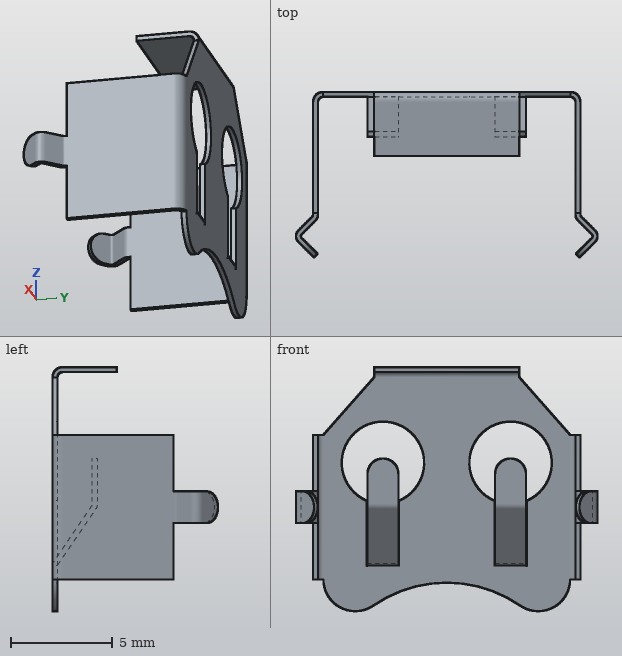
import cadquery as cq
import math

sheet = 0.254
overall_width = 14.9
overall_depth = 8.18
overall_height = 12.06

wide_bend = 2 * sheet
tight_bend_mid = sheet
wing_outer_x = 6.605
plate_half_width = wing_outer_x - wide_bend

flange_half_width = 3.59
flange_depth = 3.18
shoulder_z = 8.71
lobe_radius = 1.575
arch_radius = 6.35
arch_top_z = 1.41
hole_radius = 2.03
hole_x = 3.15
hole_z = 7.33

wing_bottom_z = 1.57
wing_depth = 5.98

tab_width = 1.575
hook_z = (shoulder_z + wing_bottom_z) / 2
hook_angle = math.radians(45)
hook_bend_y = -6.07

finger_front_y = -2.22
finger_bend_top_z = 5.28
finger_top_z = 7.55
finger_ramp_angle = math.radians(34.3)
slot_bottom_z = 2.25
slot_width = 1.575
finger_width = 1.54


def box(x_range, y_range, z_range):
    lows, highs = zip(x_range, y_range, z_range)
    sizes = [high - low for low, high in zip(lows, highs)]
    return cq.Workplane("XY").box(*sizes, centered=False).translate(lows)


def mirrored_pair(shape):
    return shape.union(shape.mirror("YZ"))


def half_disc(center, outward, normal, radius):
    """Rounded strip end of one sheet thickness, centred on the mid-sheet plane."""
    plane = cq.Plane(origin=center, xDir=outward, normal=normal)
    outline = cq.Workplane(plane).moveTo(0, -radius).threePointArc((radius, 0), (0, radius)).close()
    return outline.extrude(sheet / 2, both=True)


def base_plate():
    """Flat plate: lobed and arched bottom, sloping shoulders, two round holes."""
    lobe_x = plate_half_width - lobe_radius
    arch_z = arch_top_z - arch_radius
    join_angle = math.atan2(lobe_radius - arch_z, lobe_x)
    join_x = arch_radius * math.cos(join_angle)
    join_z = arch_z + arch_radius * math.sin(join_angle)
    neck_z = overall_height - wide_bend
    plate = (
        cq.Workplane("XZ")
        .moveTo(-flange_half_width, neck_z)
        .lineTo(flange_half_width, neck_z)
        .lineTo(plate_half_width, shoulder_z)
        .lineTo(plate_half_width, lobe_radius)
        .threePointArc((lobe_x, 0), (join_x, join_z))
        .threePointArc((0, arch_top_z), (-join_x, join_z))
        .threePointArc((-lobe_x, 0), (-plate_half_width, lobe_radius))
        .lineTo(-plate_half_width, shoulder_z)
        .close()
        .extrude(sheet)
    )
    holes = (
        cq.Workplane("XZ")
        .pushPoints([(-hole_x, hole_z), (hole_x, hole_z)])
        .circle(hole_radius)
        .extrude(sheet)
    )
    return plate.cut(holes)


def bent_flange(plane, bend_start, edge, reach, width):
    """Flange turned 90 degrees; its outer face lies at `edge` and it reaches `reach` forward."""
    inner_radius = wide_bend - sheet
    turn = math.sqrt(0.5)
    outer_middle = (bend_start + wide_bend * turn, wide_bend * turn - wide_bend)
    inner_middle = (bend_start + inner_radius * turn, inner_radius * turn - wide_bend)
    profile = (
        plane.moveTo(bend_start, 0)
        .threePointArc(outer_middle, (edge, -wide_bend))
        .lineTo(edge, -reach)
        .lineTo(edge - sheet, -reach)
        .lineTo(edge - sheet, -wide_bend)
        .threePointArc(inner_middle, (bend_start, -sheet))
        .close()
    )
    return profile.extrude(width)


def top_flange():
    plane = cq.Plane(origin=(flange_half_width, 0, 0), xDir=(0, 0, 1), normal=(-1, 0, 0))
    neck_z = overall_height - wide_bend
    return bent_flange(cq.Workplane(plane), neck_z, overall_height, flange_depth, 2 * flange_half_width)


def wing():
    plane = cq.Workplane("XY", origin=(0, 0, wing_bottom_z))
    return bent_flange(plane, plate_half_width, wing_outer_x, wing_depth, shoulder_z - wing_bottom_z)


def hook():
    """Strip leaving the wing, bent outward and then back inward to a rounded tip."""
    sine = math.sin(hook_angle)
    cosine = math.cos(hook_angle)
    half_sine = math.sin(hook_angle / 2)
    half_cosine = math.cos(hook_angle / 2)
    bend = tight_bend_mid
    wing_mid_x = wing_outer_x - sheet / 2
    crest_x = (overall_width - sheet) / 2
    bend_out = bend * (1 - cosine)
    leg_run = crest_x - wing_mid_x - 2 * bend_out
    leg_start = (wing_mid_x + bend_out, hook_bend_y - bend * sine)
    leg_end = (leg_start[0] + leg_run, leg_start[1] - leg_run * cosine / sine)
    crest = (crest_x, leg_end[1] - bend * sine)
    return_start = (leg_end[0], crest[1] - bend * sine)
    tip_y = -overall_depth + sheet / 2 * sine
    round_y = tip_y + tab_width / 2 * cosine
    round_x = return_start[0] - (return_start[1] - round_y) * sine / cosine
    path = (
        cq.Workplane("XY", origin=(0, 0, hook_z))
        .moveTo(wing_mid_x, -wing_depth)
        .lineTo(wing_mid_x, hook_bend_y)
        .threePointArc(
            (wing_mid_x + bend * (1 - half_cosine), hook_bend_y - bend * half_sine), leg_start
        )
        .lineTo(*leg_end)
        .threePointArc(crest, return_start)
        .lineTo(round_x, round_y)
    )
    section = cq.Workplane("XZ", origin=(wing_mid_x, -wing_depth, hook_z)).rect(sheet, tab_width)
    tip = half_disc((round_x, round_y, hook_z), (-sine, -cosine, 0), (cosine, -sine, 0), tab_width / 2)
    return section.sweep(path).union(tip)


def finger():
    """Spring finger: ramp rising from the plate to an upright rounded end."""
    sine = math.sin(finger_ramp_angle)
    cosine = math.cos(finger_ramp_angle)
    bend = tight_bend_mid
    upright_y = finger_front_y + sheet / 2
    round_z = finger_top_z - finger_width / 2
    ramp_end = (upright_y + bend * (1 - cosine), finger_bend_top_z - bend * sine)
    half_angle = finger_ramp_angle / 2
    bend_middle = (
        upright_y + bend * (1 - math.cos(half_angle)),
        finger_bend_top_z - bend * math.sin(half_angle),
    )
    ramp_start = (sheet, ramp_end[1] - (sheet - ramp_end[0]) * cosine / sine)
    path = (
        cq.Workplane("YZ", origin=(hole_x, 0, 0))
        .moveTo(upright_y, round_z)
        .lineTo(upright_y, finger_bend_top_z)
        .threePointArc(bend_middle, ramp_end)
        .lineTo(*ramp_start)
    )
    section = cq.Workplane("XY", origin=(hole_x, upright_y, round_z)).rect(finger_width, sheet)
    tip = half_disc((hole_x, upright_y, round_z), (0, 0, 1), (0, 1, 0), finger_width / 2)
    behind_plate = box((0, plate_half_width), (0, wing_depth), (0, overall_height))
    return section.sweep(path).cut(behind_plate).union(tip)


def finger_slot():
    x_range = (hole_x - slot_width / 2, hole_x + slot_width / 2)
    return box(x_range, (-sheet, 0), (slot_bottom_z, hole_z))


result = (
    base_plate()
    .cut(mirrored_pair(finger_slot()))
    .union(top_flange())
    .union(mirrored_pair(wing()))
    .union(mirrored_pair(hook()))
    .union(mirrored_pair(finger()))
)